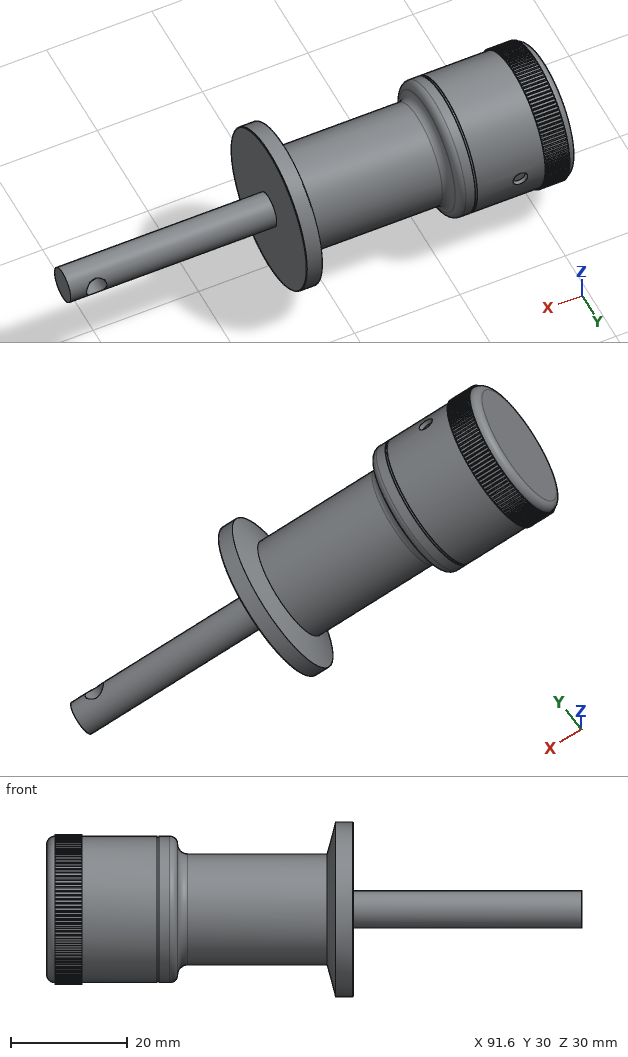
import cadquery as cq
import math

total_length = 91.6
cap_end = 22.45
flange_back = 52.5

cap_radius = 12.6
neck_radius = 9.5
flange_diameter = 30.0
flange_radius = flange_diameter / 2
rod_radius = 3.2

front_fillet = 1.5
back_fillet = 1.4
neck_fillet = cap_radius - back_fillet - neck_radius
ring_groove_start = 18.9
ring_groove_width = 0.4
ring_groove_depth = 0.2
cap_hole_x = 10.7
cap_hole_radius = 1.4
cap_hole_depth = 0.9

groove_count = 116
knurl_height = 0.3
groove_depth = 0.23
groove_pitch = 2 * math.pi / groove_count
groove_share = 0.4
groove_angle = groove_share * groove_pitch
knurl_start = front_fillet
knurl_end = 6.05

rim_width = 3.0
flange_taper = math.radians(15)
rim_chamfer = 0.14

rod_hole_x = 86.7
rod_hole_radius = 1.9
rod_hole_depth = rod_radius


def make_turned_body():
    """Cap, neck, tapered flange and rod, revolved about the X axis."""
    front_shoulder = cap_radius - front_fillet
    back_shoulder = cap_radius - back_fillet
    diagonal = math.sin(math.radians(45))
    front_bulge = front_fillet * diagonal
    back_bulge = back_fillet * diagonal
    hollow = neck_fillet * (1 - diagonal)
    back_start = cap_end - back_fillet
    rim_front = flange_back - rim_width
    taper_start = rim_front - (flange_radius - neck_radius) * math.tan(flange_taper)
    groove_end = ring_groove_start + ring_groove_width
    groove_floor = cap_radius - ring_groove_depth
    profile = (
        cq.Workplane("XY")
        .lineTo(0, front_shoulder)
        .threePointArc(
            (front_fillet - front_bulge, front_shoulder + front_bulge),
            (front_fillet, cap_radius),
        )
        .lineTo(ring_groove_start, cap_radius)
        .lineTo(ring_groove_start, groove_floor)
        .lineTo(groove_end, groove_floor)
        .lineTo(groove_end, cap_radius)
        .lineTo(back_start, cap_radius)
        .threePointArc((back_start + back_bulge, back_shoulder + back_bulge), (cap_end, back_shoulder))
        .threePointArc((cap_end + hollow, neck_radius + hollow), (cap_end + neck_fillet, neck_radius))
        .lineTo(taper_start, neck_radius)
        .lineTo(rim_front, flange_radius)
        .lineTo(flange_back - rim_chamfer, flange_radius)
        .lineTo(flange_back, flange_radius - rim_chamfer)
        .lineTo(flange_back, rod_radius)
        .lineTo(total_length, rod_radius)
        .lineTo(total_length, 0)
        .close()
    )
    return profile.revolve(360, (0, 0, 0), (1, 0, 0))


def make_knurl():
    """Raised band around the cap, cut by straight V grooves along X."""
    land_radius = cap_radius + knurl_height
    bottom_radius = land_radius - groove_depth
    points = []
    for groove in range(groove_count):
        centre = (groove + 0.5) * groove_pitch
        start = centre - groove_angle / 2
        end = centre + groove_angle / 2
        for radius, angle in (
            (land_radius, start),
            (bottom_radius, centre),
            (land_radius, end),
        ):
            points.append((radius * math.cos(angle), radius * math.sin(angle)))
    start_plane = cq.Workplane("YZ", origin=(knurl_start, 0, 0))
    return start_plane.polyline(points).close().extrude(knurl_end - knurl_start)


def make_side_hole(x, hole_radius, surface_radius, depth):
    """Cutter for a round hole sunk from the +Y side."""
    floor = surface_radius - depth
    cutter_length = 2 * depth
    return cq.Workplane("XZ", origin=(x, floor, 0)).circle(hole_radius).extrude(-cutter_length)


result = (
    make_turned_body()
    .cut(make_side_hole(cap_hole_x, cap_hole_radius, cap_radius, cap_hole_depth))
    .cut(make_side_hole(rod_hole_x, rod_hole_radius, rod_radius, rod_hole_depth))
    .union(make_knurl())
)